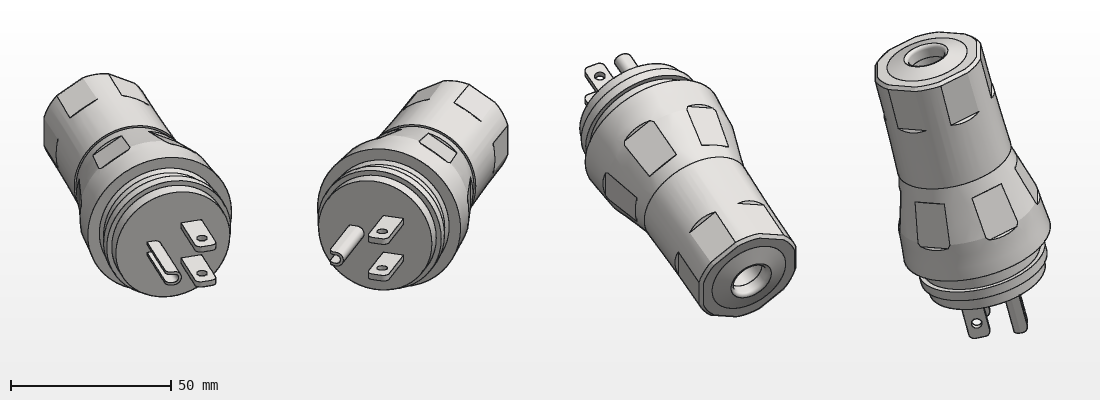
import cadquery as cq
import math


nut_face_x = 1.6
nut_end_x = 37.8
shell_shoulder_x = 56.0
shell_end_x = 68.3
insert_neck_x = 69.5
flange_start_x = 74.3
flange_end_x = 77.5
insert_end_x = 81.8
blade_end_x = 97.9
ground_end_x = 102.0

nut_face_radius = 17.6
nut_middle_radius = 17.7
nut_end_radius = 18.3
nut_chamfer = 1.0
nut_flat_distance = 16.9
nut_flat_end_x = 16.9

grommet_radius = 12.8
grommet_tip_radius = 7.0
cable_bore_radius = 5.8
grommet_end_x = 4.2

shell_start_radius = 17.6
shell_shoulder_radius = 22.5
shell_end_radius = 23.6
grip_start_x = 43.0
grip_end_x = 57.1
grip_start_distance = 18.3
grip_slope = 0.27

flat_count = 6
flat_cutter_depth = 4.1
flat_cutter_width = 16.3
end_wall_run = 1.0

insert_root_radius = 19.8
insert_radius = 18.8
flange_radius = 20.3
insert_end_radius = 18.7

blade_width = 6.7
blade_thickness = 1.9
blade_center_y = 6.0
blade_center_z = 6.3
blade_corner_radius = 1.8
blade_hole_radius = 1.6
blade_hole_inset = 5.1
ground_center_y = -6.0
ground_outer_radius = 2.3
ground_inner_radius = 1.4
ground_leg_length = 2.4
ground_corner_radius = 1.9


def revolve_about_x(profile):
    """Turn a closed profile, drawn as (x, radius), about the X axis."""
    return profile.close().revolve(360, (0, 0, 0), (1, 0, 0))


def cut_grip_flats(body, start, end, start_wall_run):
    """Cut evenly spaced flats; start and end are (x, distance from the axis) on the flat."""
    start_x, start_distance = start
    end_x, end_distance = end
    cutter = (
        cq.Workplane("XY")
        .moveTo(start_x, start_distance)
        .lineTo(end_x, end_distance)
        .lineTo(end_x + flat_cutter_depth * end_wall_run, end_distance + flat_cutter_depth)
        .lineTo(start_x - flat_cutter_depth * start_wall_run, start_distance + flat_cutter_depth)
        .close()
        .extrude(flat_cutter_width / 2, both=True)
    )
    for index in range(flat_count):
        body = body.cut(cutter.rotate((0, 0, 0), (1, 0, 0), index * 360 / flat_count))
    return body


def make_grommet():
    """Bush with a conical nose and a rounded cable entry."""
    entry_round = grommet_tip_radius - cable_bore_radius
    round_diagonal = entry_round * (1 - math.sqrt(0.5))
    profile = (
        cq.Workplane("XY")
        .moveTo(grommet_end_x, cable_bore_radius)
        .lineTo(entry_round, cable_bore_radius)
        .threePointArc(
            (round_diagonal, cable_bore_radius + round_diagonal),
            (0, grommet_tip_radius),
        )
        .lineTo(nut_face_x, grommet_radius)
        .lineTo(grommet_end_x, grommet_radius)
    )
    return revolve_about_x(profile)


def make_nut():
    """Slightly flared clamp nut with six wrench flats, a grommet recess and a cable bore."""
    profile = (
        cq.Workplane("XY")
        .moveTo(nut_face_x, 0)
        .lineTo(nut_face_x, nut_face_radius)
        .threePointArc(
            ((nut_face_x + nut_end_x) / 2, nut_middle_radius),
            (nut_end_x, nut_end_radius),
        )
        .lineTo(nut_end_x, 0)
    )
    nut = cut_grip_flats(
        revolve_about_x(profile),
        (nut_face_x, nut_flat_distance),
        (nut_flat_end_x, nut_flat_distance),
        start_wall_run=0,
    )
    nut = nut.faces("<X").edges().chamfer(nut_chamfer)
    recess = (
        cq.Workplane("YZ", origin=(nut_face_x, 0, 0))
        .circle(grommet_radius)
        .extrude(grommet_end_x - nut_face_x)
    )
    cable_bore = (
        cq.Workplane("YZ", origin=(grommet_end_x, 0, 0))
        .circle(cable_bore_radius)
        .extrude(nut_end_x - grommet_end_x)
    )
    return nut.cut(recess).cut(cable_bore)


def make_shell():
    """Flared shell with six sloping finger flats."""
    profile = (
        cq.Workplane("XY")
        .moveTo(nut_end_x, 0)
        .lineTo(nut_end_x, shell_start_radius)
        .lineTo(shell_shoulder_x, shell_shoulder_radius)
        .lineTo(shell_end_x, shell_end_radius)
        .lineTo(shell_end_x, 0)
    )
    grip_end_distance = grip_start_distance + grip_slope * (grip_end_x - grip_start_x)
    return cut_grip_flats(
        revolve_about_x(profile),
        (grip_start_x, grip_start_distance),
        (grip_end_x, grip_end_distance),
        start_wall_run=end_wall_run / 2,
    )


def make_insert():
    """Contact carrier with a tapered root and a flange."""
    profile = (
        cq.Workplane("XY")
        .moveTo(shell_end_x, 0)
        .lineTo(shell_end_x, insert_root_radius)
        .lineTo(insert_neck_x, insert_radius)
        .lineTo(flange_start_x, insert_radius)
        .lineTo(flange_start_x, flange_radius)
        .lineTo(flange_end_x, flange_radius)
        .lineTo(flange_end_x, insert_end_radius)
        .lineTo(insert_end_x, insert_end_radius)
        .lineTo(insert_end_x, 0)
    )
    return revolve_about_x(profile)


def make_blade(center_z):
    """Flat blade with a locking hole, standing on the insert's end face."""
    length = blade_end_x - insert_end_x
    return (
        cq.Workplane("XY", origin=(insert_end_x + length / 2, blade_center_y, center_z))
        .box(length, blade_width, blade_thickness)
        .edges("|Z and >X")
        .fillet(blade_corner_radius)
        .faces(">Z")
        .workplane(origin=(blade_end_x - blade_hole_inset, blade_center_y, center_z))
        .hole(2 * blade_hole_radius)
    )


def make_ground_pin():
    """U-shaped pin, open towards -Y, with the tips of its legs rounded."""
    leg_tip_y = -ground_leg_length
    return (
        cq.Workplane("YZ", origin=(insert_end_x, ground_center_y, 0))
        .moveTo(leg_tip_y, ground_outer_radius)
        .lineTo(0, ground_outer_radius)
        .threePointArc((ground_outer_radius, 0), (0, -ground_outer_radius))
        .lineTo(leg_tip_y, -ground_outer_radius)
        .lineTo(leg_tip_y, -ground_inner_radius)
        .lineTo(0, -ground_inner_radius)
        .threePointArc((ground_inner_radius, 0), (0, ground_inner_radius))
        .lineTo(leg_tip_y, ground_inner_radius)
        .close()
        .extrude(ground_end_x - insert_end_x)
        .faces(">X")
        .edges("<Y")
        .fillet(ground_corner_radius)
    )


grommet = make_grommet()
nut = make_nut()
shell = make_shell()
insert = make_insert()
blades = [make_blade(side * blade_center_z) for side in (1, -1)]
ground_pin = make_ground_pin()

result = cq.Compound.makeCompound(
    [
        grommet.val(),
        nut.val(),
        shell.val(),
        insert.val(),
        *[blade.val() for blade in blades],
        ground_pin.val(),
    ]
)